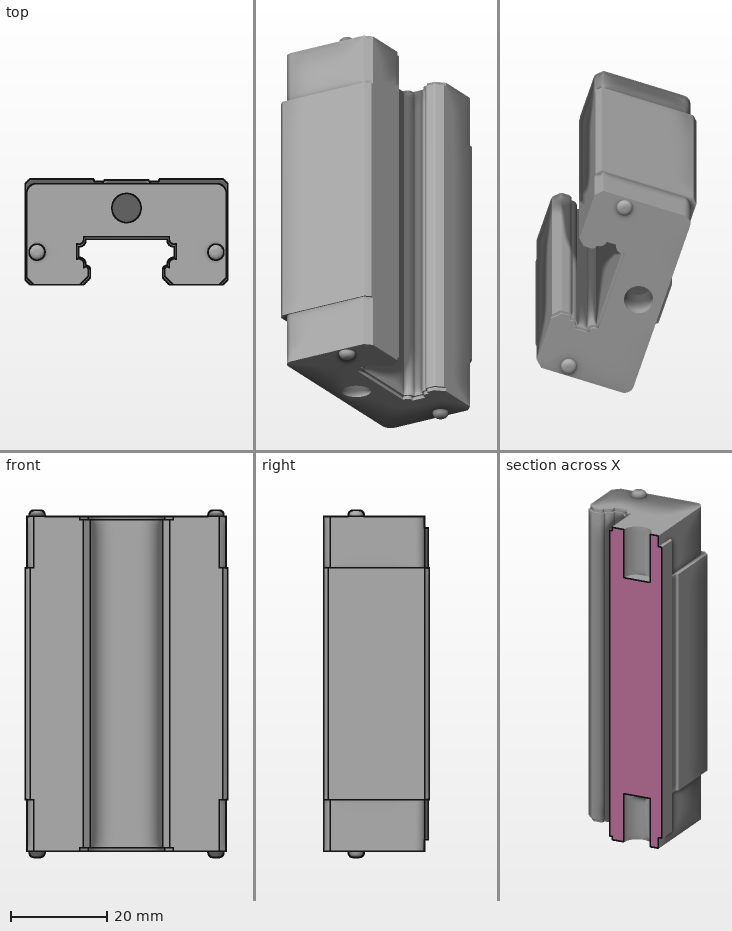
import cadquery as cq
import math


total_length = 72.1
block_width = 42.0
block_height = 22.0

screw_head_height = 1.3
block_length = 48.1
body_length = total_length - 2 * screw_head_height
cap_length = (body_length - block_length) / 2
block_chamfer = 1.0
cap_width = 41.4
cap_height = 21.0
cap_chamfer = 1.45
cap_fillet = 1.95

recess_floor_width = 13.3
recess_mouth_width = 13.85
recess_floor_height = 21.5
strip_base_width = 10.1
strip_top_width = 9.1
strip_top_height = 21.8
strip_length = 64.75

lip_half_width = 7.5
wall_half_width = 8.4
pocket_half_width = 9.9
flare = 1.45
lip_height = 4.05
lip_corner_round = 0.7
pocket_bottom = 5.7
pocket_top = 7.85
opening_top = 9.45
lip_round = wall_half_width - lip_half_width
pocket_round = pocket_half_width - wall_half_width
seal_offset = 0.4
seal_shift = 0.15
seal_depth = 0.7

grease_hole_diameter = 6.05
grease_hole_height = 15.9
screw_head_radius = 1.65
screw_flat_radius = 0.6
screw_spacing = 37.1
screw_center_height = 6.8


def tapered_bar(low_width, low_height, high_width, high_height, length):
    """Bar along Z with sloping sides between two heights above the rail-side face."""
    low = low_width / 2
    high = high_width / 2
    outline = [(-low, low_height), (low, low_height), (high, high_height), (-high, high_height)]
    return cq.Workplane("XY").workplane(offset=-length / 2).polyline(outline).close().extrude(length)


def make_block():
    """Middle block with chamfered long edges and back recess."""
    block = (
        cq.Workplane("XY")
        .box(block_width, block_height, block_length, centered=(True, False, True))
        .edges("|Z")
        .chamfer(block_chamfer)
    )
    recess = tapered_bar(
        recess_floor_width, recess_floor_height, recess_mouth_width, block_height, block_length
    )
    return block.cut(recess)


def make_caps():
    """Both end caps as one bar that also runs through the block."""
    return (
        cq.Workplane("XY")
        .box(cap_width, cap_height, body_length, centered=(True, False, True))
        .edges("|Z and <Y")
        .chamfer(cap_chamfer)
        .edges("|Z and >Y")
        .fillet(cap_fillet)
    )


def make_cover_strip():
    """Strip with sloping sides lying on the back of the block and caps."""
    return tapered_bar(strip_base_width, cap_height, strip_top_width, strip_top_height, strip_length)


def half_opening_outline(start):
    """Closed +X half of the rail opening, its flare carried on below the rail-side face."""
    corner_trim = lip_corner_round * math.tan(math.pi / 8)
    flare_trim = corner_trim * math.sqrt(0.5)
    return (
        cq.Workplane("XY")
        .workplane(offset=start)
        .moveTo(0, -flare)
        .lineTo(lip_half_width + 2 * flare, -flare)
        .lineTo(lip_half_width + flare_trim, flare - flare_trim)
        .radiusArc((lip_half_width, flare + corner_trim), lip_corner_round)
        .lineTo(lip_half_width, lip_height - lip_round)
        .radiusArc((wall_half_width, lip_height), lip_round)
        .lineTo(wall_half_width, pocket_bottom - pocket_round)
        .radiusArc((pocket_half_width, pocket_bottom), pocket_round)
        .lineTo(pocket_half_width, pocket_top)
        .radiusArc((wall_half_width, pocket_top + pocket_round), pocket_round)
        .lineTo(wall_half_width, opening_top)
        .lineTo(0, opening_top)
        .close()
    )


def both_halves(half):
    return half.union(half.mirror("YZ"))


def make_rail_opening():
    return both_halves(half_opening_outline(-body_length / 2).extrude(body_length))


def make_seal_recess(start):
    """Enlarged opening at one end face, set slightly deeper than the rail opening."""
    outline = half_opening_outline(start).offset2D(seal_offset, "intersection")
    return both_halves(outline.extrude(seal_depth)).translate((0, seal_shift, 0))


def make_grease_hole(start):
    return (
        cq.Workplane("XY")
        .workplane(offset=start)
        .center(0, grease_hole_height)
        .circle(grease_hole_diameter / 2)
        .extrude(cap_length)
    )


def make_screw_heads():
    """Two domed screw heads standing on the +Z end face."""
    return (
        cq.Workplane("XY")
        .workplane(offset=body_length / 2)
        .pushPoints([(-screw_spacing / 2, screw_center_height), (screw_spacing / 2, screw_center_height)])
        .circle(screw_head_radius)
        .extrude(screw_head_height)
        .faces(">Z")
        .edges()
        .fillet(screw_head_radius - screw_flat_radius)
    )


screw_heads = make_screw_heads()
end_face = body_length / 2

result = make_block().union(make_caps()).union(make_cover_strip())
result = result.cut(make_rail_opening())
for recess_start in (-end_face, end_face - seal_depth):
    result = result.cut(make_seal_recess(recess_start))
for hole_start in (-end_face, end_face - cap_length):
    result = result.cut(make_grease_hole(hole_start))
result = result.union(screw_heads).union(screw_heads.mirror("XY"))